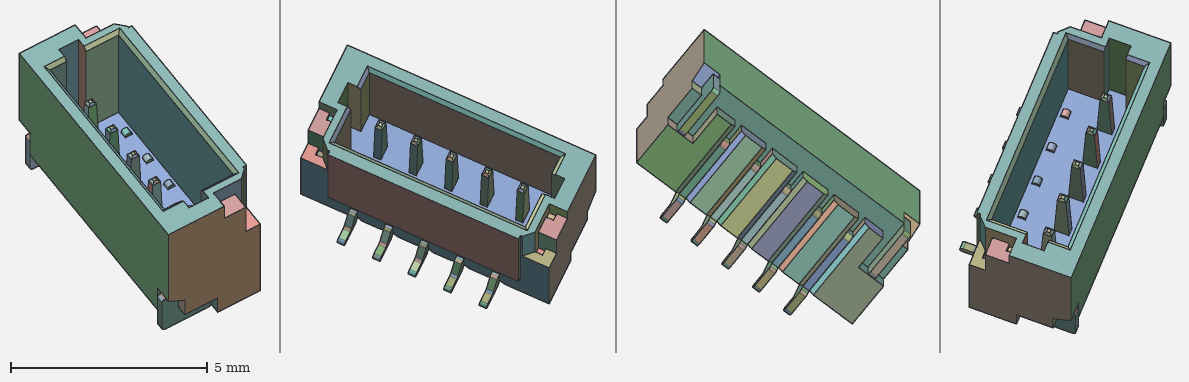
import cadquery as cq
import math


length = 7.0
height = 4.3
housing_depth = 2.79
standoff = 0.05

bulge_width = 5.375
bulge_rear = 2.9
bulge_bottom = 1.05

cavity_width = 5.375
cavity_front = 0.405
cavity_rear = 2.49
floor_z = 1.0
lead_in = 0.105
key_reach = 3.05
key_front = 0.92
key_rear = 1.51

tab_inner = 2.99
tab_thickness = 0.21
tab_foot_depth = 1.5
tab_foot_height = 0.645
tab_upright_depth = 0.5
tab_height = 1.24
edge_radius = 0.1
tab_top_radius = 0.08

ramp_top = 1.54
inner_clearance = 2.69

step_rear_y = 2.35
step_rear_z = 2.8
step_front_y = 1.7
step_front_z = 3.8
corner_chamfer = 0.245
pocket_size = 0.195
pocket_depth = 0.195

pin_count = 5
pin_pitch = 1.0
pin_width = 0.2
blade_y = 1.2
blade_base = 0.405
blade_top = 0.24
blade_z = 3.01
tip_height = 0.07
tip_size = 0.09
bar_bottom = 0.15
bar_top = tab_foot_height
bar_radius = 0.155
anchor_y = 2.295
anchor_depth = 0.22
bend_angle = math.radians(60)
foot_end = 3.6
foot_thickness = 0.195
foot_heel = 2.885
foot_instep = 3.18
notch_slope_size = 0.13

pin_positions = [(i - (pin_count - 1) / 2) * pin_pitch for i in range(pin_count)]
sides = (-1, 1)


def block(x_min, x_max, y_min, y_max, z_min, z_max):
    """Axis-aligned box between the given limits."""
    return (
        cq.Workplane("XY")
        .box(x_max - x_min, y_max - y_min, z_max - z_min, centered=False)
        .translate((x_min, y_min, z_min))
    )


def side_block(side, inner, outer, y_min, y_max, z_min, z_max):
    """Box between two distances from the middle, on the left (-1) or right (1)."""
    x_min, x_max = sorted((side * inner, side * outer))
    return block(x_min, x_max, y_min, y_max, z_min, z_max)


def extrude_along_x(outline, x_min, width):
    """Closed YZ outline extruded from x_min toward +X."""
    return outline.close().extrude(width).translate((x_min, 0, 0))


def round_edge(solid, y, z, radius):
    """Fillet the edge along X that passes nearest to (y, z)."""
    middle_x = solid.val().Center().x
    nearest = cq.selectors.NearestToPointSelector((middle_x, y, z))
    return solid.edges("|X").edges(nearest).fillet(radius)


def tab_outline(front_top):
    """L-shaped YZ outline whose upright reaches front_top at the front face."""
    return (
        cq.Workplane("YZ")
        .lineTo(tab_foot_depth, 0)
        .lineTo(tab_foot_depth, tab_foot_height)
        .lineTo(tab_upright_depth, tab_foot_height)
        .lineTo(tab_upright_depth, tab_height)
        .lineTo(0, front_top)
    )


def housing_blank():
    body = block(-length / 2, length / 2, 0, housing_depth, standoff, height)
    bulge = block(-bulge_width / 2, bulge_width / 2, housing_depth, bulge_rear, bulge_bottom, height)
    return body.union(bulge)


def mating_cavity():
    depth = cavity_rear - cavity_front
    middle_y = (cavity_front + cavity_rear) / 2
    well = block(-cavity_width / 2, cavity_width / 2, cavity_front, cavity_rear, floor_z, height)
    key = block(-key_reach, key_reach, key_front, key_rear, floor_z, height)
    mouth = (
        cq.Workplane("XY", origin=(0, middle_y, height))
        .rect(cavity_width + 2 * lead_in, depth + 2 * lead_in)
        .workplane(offset=-lead_in)
        .rect(cavity_width, depth)
        .loft(ruled=True)
    )
    return well.union(key).union(mouth)


def stepped_corner(side):
    """Material removed at one rear top corner, with two small pockets beside the wall."""
    wall = tab_inner
    end = length / 2
    pocket_end = tab_inner + tab_thickness
    upper = side_block(side, wall, end, step_front_y, housing_depth, step_front_z, height)
    lower = side_block(side, wall, end, step_rear_y, housing_depth, step_rear_z, height)
    bevel = (
        cq.Workplane("XY", origin=(0, 0, step_rear_z))
        .moveTo(side * wall, housing_depth)
        .lineTo(side * wall, housing_depth - corner_chamfer)
        .lineTo(side * (wall - corner_chamfer), housing_depth)
        .close()
        .extrude(height - step_rear_z)
    )
    removed = upper.union(lower).union(bevel)
    for pocket_y, ledge_z in ((step_front_y, step_front_z), (step_rear_y, step_rear_z)):
        pocket = side_block(
            side, wall, pocket_end, pocket_y, pocket_y + pocket_size, ledge_z - pocket_depth, ledge_z
        )
        removed = removed.union(pocket)
    return removed


def tab_recess(side):
    """L-shaped recess with a sloped roof that takes one solder tab."""
    recess_width = length / 2 - tab_inner
    x_min = tab_inner if side > 0 else -length / 2
    return extrude_along_x(tab_outline(ramp_top), x_min, recess_width)


def front_undercut():
    """Step under the front face, deeper beside the tabs than between them."""
    undercut = block(-tab_inner, tab_inner, 0, tab_upright_depth, 0, tab_foot_height)
    for side in sides:
        undercut = undercut.union(
            side_block(side, inner_clearance, tab_inner, 0, tab_foot_depth, 0, tab_foot_height)
        )
    return undercut


def pin_channel(x):
    """Slot below one pin, open to the front, rear and bottom, with bevelled lower edges."""
    slot = block(x - pin_width / 2, x + pin_width / 2, 0, housing_depth, 0, bar_top)
    half_top = pin_width / 2
    half_bottom = half_top + notch_slope_size
    bevels = (
        cq.Workplane("XZ")
        .polyline(
            [
                (x - half_bottom, standoff),
                (x + half_bottom, standoff),
                (x + half_top, standoff + notch_slope_size),
                (x - half_top, standoff + notch_slope_size),
            ]
        )
        .close()
        .extrude(-housing_depth)
    )
    return slot.union(bevels)


def pin_bar(x):
    """Horizontal bar of one pin, bent down at the rear into a soldering foot."""
    heel_top = foot_heel - bar_bottom / math.tan(bend_angle)
    bend_top = foot_instep - (bar_top - foot_thickness) / math.tan(bend_angle)
    bar_front = blade_y - blade_base / 2
    tip_radius = foot_thickness / 2
    outline = (
        cq.Workplane("YZ")
        .moveTo(bar_front, bar_bottom)
        .lineTo(heel_top, bar_bottom)
        .lineTo(foot_heel, 0)
        .lineTo(foot_end - tip_radius, 0)
        .threePointArc((foot_end, tip_radius), (foot_end - tip_radius, foot_thickness))
        .lineTo(foot_instep, foot_thickness)
        .lineTo(bend_top, bar_top)
        .lineTo(bar_front, bar_top)
    )
    bar = extrude_along_x(outline, x - pin_width / 2, pin_width)
    bar = round_edge(bar, bar_front, bar_bottom, bar_radius)
    bar = round_edge(bar, bend_top, bar_top, edge_radius)
    bar = round_edge(bar, foot_instep, foot_thickness, edge_radius)
    return round_edge(bar, foot_heel, 0, edge_radius)


def pin_blade(x):
    """Upright contact blade: straight through the floor, tapered above it, pointed at the top."""
    root = block(
        x - pin_width / 2, x + pin_width / 2,
        blade_y - blade_base / 2, blade_y + blade_base / 2,
        bar_top, floor_z,
    )
    taper = (
        cq.Workplane("YZ", origin=(x - pin_width / 2, 0, 0))
        .polyline(
            [
                (blade_y - blade_base / 2, floor_z),
                (blade_y + blade_base / 2, floor_z),
                (blade_y + blade_top / 2, blade_z),
                (blade_y - blade_top / 2, blade_z),
            ]
        )
        .close()
        .extrude(pin_width)
    )
    tip = (
        cq.Workplane("XY", origin=(x, blade_y, blade_z))
        .rect(pin_width, blade_top)
        .workplane(offset=tip_height)
        .rect(tip_size, tip_size)
        .loft(ruled=True)
    )
    return root.union(taper).union(tip)


def pin_anchor(x):
    """Second upright of one pin, its rounded end standing just above the floor."""
    half = anchor_depth / 2
    outline = (
        cq.Workplane("YZ")
        .moveTo(anchor_y - half, bar_top)
        .lineTo(anchor_y + half, bar_top)
        .lineTo(anchor_y + half, floor_z)
        .threePointArc((anchor_y, floor_z + half), (anchor_y - half, floor_z))
    )
    return extrude_along_x(outline, x - pin_width / 2, pin_width)


def make_pin(x):
    return pin_bar(x).union(pin_blade(x)).union(pin_anchor(x))


def make_tab(side):
    x_min = tab_inner if side > 0 else -tab_inner - tab_thickness
    tab = extrude_along_x(tab_outline(tab_height), x_min, tab_thickness)
    tab = round_edge(tab, 0, tab_height, tab_top_radius)
    tab = round_edge(tab, 0, 0, edge_radius)
    return round_edge(tab, tab_foot_depth, 0, edge_radius)


def make_housing(pins):
    body = housing_blank().cut(mating_cavity()).cut(front_undercut())
    for side in sides:
        body = body.cut(stepped_corner(side)).cut(tab_recess(side))
    for x in pin_positions:
        body = body.cut(pin_channel(x))
    for pin in pins:
        body = body.cut(pin)
    return body


pins = [make_pin(x) for x in pin_positions]
tabs = [make_tab(side) for side in sides]
housing = make_housing(pins)

result = cq.Compound.makeCompound([body.solids().val() for body in (housing, *pins, *tabs)])